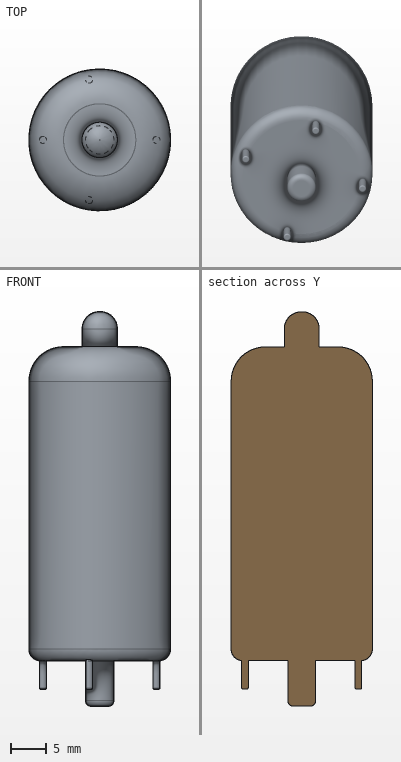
import cadquery as cq

total_length = 55.66

body_diameter = 20.0
shoulder_radius = 4.9
base_edge_radius = 1.7

cap_diameter = 5.0
cap_height = 4.95
cap_dome_radius = 2.45

spigot_diameter = 4.0
spigot_length = 6.4
spigot_edge_radius = 0.8

pin_diameter = 1.0
pin_length = 4.0
pin_edge_radius = 0.2
pin_embed = base_edge_radius
end_pin_x = 8.0
side_pin_x = -1.5
side_pin_y = 8.5

body_length = total_length - cap_height - spigot_length

pin_positions = [
    (-end_pin_x, 0),
    (end_pin_x, 0),
    (side_pin_x, -side_pin_y),
    (side_pin_x, side_pin_y),
]


def make_envelope():
    """Cylinder with a wide rounded shoulder and a smaller rounded base edge."""
    cylinder = cq.Workplane("XY").circle(body_diameter / 2).extrude(body_length)
    shouldered = cylinder.faces(">Z").edges().fillet(shoulder_radius)
    return shouldered.faces("<Z").edges().fillet(base_edge_radius)


def make_cap():
    """Short stud with a nearly hemispherical top."""
    stud = cq.Workplane("XY").workplane(offset=body_length).circle(cap_diameter / 2).extrude(cap_height)
    return stud.faces(">Z").edges().fillet(cap_dome_radius)


def make_spigot():
    """Central stud pointing down, with a rounded end."""
    stud = cq.Workplane("XY").circle(spigot_diameter / 2).extrude(-spigot_length)
    return stud.faces("<Z").edges().fillet(spigot_edge_radius)


def make_pins():
    """Four contact pins with eased tips pointing down, rooted inside the envelope."""
    root = cq.Workplane("XY").workplane(offset=pin_embed).pushPoints(pin_positions)
    pins = root.circle(pin_diameter / 2).extrude(-(pin_embed + pin_length))
    return pins.faces("<Z").edges().fillet(pin_edge_radius)


result = make_envelope().union(make_cap()).union(make_spigot()).union(make_pins())